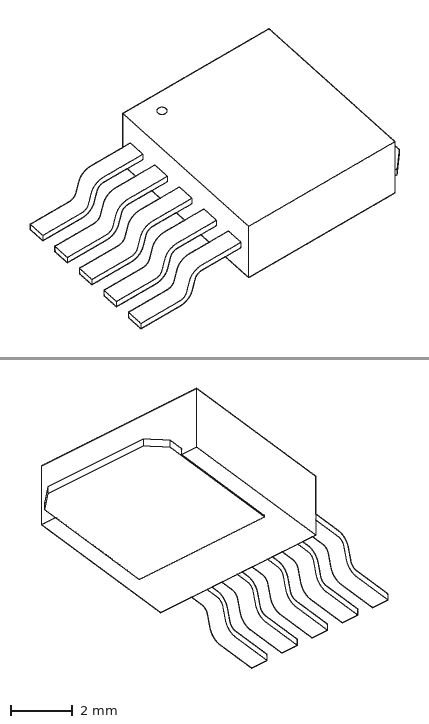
import cadquery as cq
import math

total_length = 11.4
total_height = 2.44
housing_width = 6.5
housing_length = 6.06
tab_standoff = 0.05

tab_width = 5.24
tab_thickness = 0.28
tab_overhang = 1.19
tab_length = 5.4
tab_chamfer_x = 0.63
tab_chamfer_y = 0.59

lead_count = 5
lead_pitch = 1.27
lead_width = 0.65
lead_thickness = 0.25
lead_top_rise = 1.33
lead_upper_run = 1.62
lead_bend_angle = 75.0
bend_inner_radius = 0.28
bend_outer_radius = bend_inner_radius + lead_thickness

marker_diameter = 0.33
marker_depth = 0.06
marker_x = -2.54
marker_front_inset = 1.06

back_y = total_length / 2
lead_tip_y = -total_length / 2
housing_back_y = back_y - tab_overhang
housing_front_y = housing_back_y - housing_length
housing_bottom_z = tab_standoff


def make_tab():
    """Flat plate with the two back corners cut off."""
    half_width = tab_width / 2
    shoulder_y = back_y - tab_chamfer_y
    nose_x = half_width - tab_chamfer_x
    front_y = back_y - tab_length
    outline = [
        (-half_width, front_y),
        (half_width, front_y),
        (half_width, shoulder_y),
        (nose_x, back_y),
        (-nose_x, back_y),
        (-half_width, shoulder_y),
    ]
    return cq.Workplane("XY").polyline(outline).close().extrude(tab_thickness)


def make_marker():
    """Disc whose upper face is level with the housing top."""
    return (
        cq.Workplane("XY", origin=(marker_x, housing_front_y + marker_front_inset, total_height))
        .circle(marker_diameter / 2)
        .extrude(-marker_depth)
    )


def make_housing(tab, marker):
    """Block with matching recesses for the tab and the marker."""
    block = cq.Workplane("XY").box(
        housing_width,
        housing_length,
        total_height - housing_bottom_z,
        centered=(True, False, False),
    )
    block = block.translate((0, housing_front_y, housing_bottom_z))
    return block.cut(tab).cut(marker).solids()


def make_lead(center_x):
    """Strip of constant thickness, bent down and then level again at the housing underside."""
    bend = math.radians(lead_bend_angle)
    upper_top_z = housing_bottom_z + lead_top_rise
    upper_bottom_z = upper_top_z - lead_thickness
    foot_bottom_z = housing_bottom_z
    foot_top_z = foot_bottom_z + lead_thickness

    drop_y = (upper_top_z - foot_top_z) / math.tan(bend)
    corner_shift = lead_thickness * math.tan(bend / 2)
    upper_top_y = housing_front_y - lead_upper_run - bend_outer_radius * math.tan(bend / 2)
    upper_bottom_y = upper_top_y + corner_shift
    foot_top_y = upper_top_y - drop_y
    foot_bottom_y = upper_bottom_y - drop_y

    outline = [
        (housing_front_y, upper_top_z),
        (upper_top_y, upper_top_z),
        (foot_top_y, foot_top_z),
        (lead_tip_y, foot_top_z),
        (lead_tip_y, foot_bottom_z),
        (foot_bottom_y, foot_bottom_z),
        (upper_bottom_y, upper_bottom_z),
        (housing_front_y, upper_bottom_z),
    ]
    strip = (
        cq.Workplane("YZ", origin=(center_x, 0, 0))
        .polyline(outline)
        .close()
        .extrude(lead_width / 2, both=True)
    )

    bends = [
        (upper_top_y, upper_top_z, bend_outer_radius),
        (upper_bottom_y, upper_bottom_z, bend_inner_radius),
        (foot_top_y, foot_top_z, bend_inner_radius),
        (foot_bottom_y, foot_bottom_z, bend_outer_radius),
    ]
    for corner_y, corner_z, radius in bends:
        corner_edge = cq.selectors.NearestToPointSelector((center_x, corner_y, corner_z))
        strip = strip.edges("|X").edges(corner_edge).fillet(radius)
    return strip.solids()


tab = make_tab()
marker = make_marker()
housing = make_housing(tab, marker)

leads = []
for index in range(lead_count):
    lead_x = (index - (lead_count - 1) / 2) * lead_pitch
    leads.append(make_lead(lead_x))

result = cq.Compound.makeCompound(
    [housing.val(), tab.val(), marker.val(), *[lead.val() for lead in leads]]
)